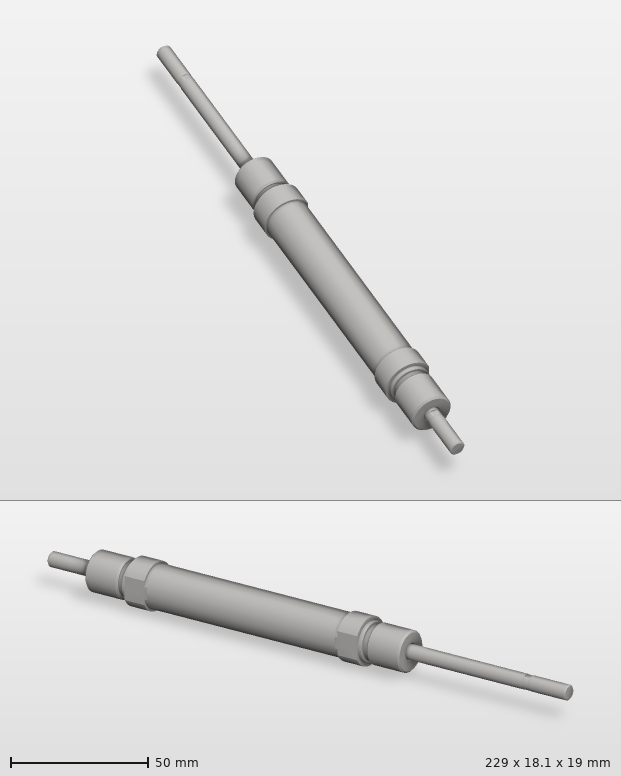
import cadquery as cq

TOTAL_LENGTH = 229.0
ROD_REACH_LEFT = 70.0
ROD_REACH_RIGHT = 20.0
NOSE_LENGTH = 14.5
UNDERCUT_LENGTH = 2.0
SHOULDER_LENGTH = 1.5
COLLAR_LENGTH = 8.7
LIP_LENGTH = 1.1
HEAD_LENGTH = NOSE_LENGTH + UNDERCUT_LENGTH + SHOULDER_LENGTH + COLLAR_LENGTH + LIP_LENGTH

TUBE_DIAMETER = 17.2
COLLAR_DIAMETER = 19.0
NOSE_DIAMETER = 16.0
UNDERCUT_DIAMETER = 13.7
NOSE_CHAMFER = 0.7
SHOULDER_CHAMFER = 0.2
HEAD_FLAT_OFFSET = 8.2
BORE_CHAMFER = 0.5

ROD_DIAMETER = 6.0
ROD_END_CHAMFER = 0.5
ROD_TIP_LENGTH = 15.8
NECK_TAPER_LENGTH = 1.0
NECK_LENGTH = 2.3
NECK_DIAMETER = 5.7
NECK_ACROSS_FLATS = 5.0

ROD_START = -TOTAL_LENGTH / 2
BODY_START = ROD_START + ROD_REACH_LEFT
BODY_END = TOTAL_LENGTH / 2 - ROD_REACH_RIGHT
BODY_MIDDLE = (BODY_START + BODY_END) / 2
TUBE_START = BODY_START + HEAD_LENGTH
TUBE_LENGTH = BODY_END - HEAD_LENGTH - TUBE_START


def cylinder(start, length, diameter):
    """Round bar running along +X from the given station."""
    return cq.Workplane("YZ", origin=(start, 0, 0)).circle(diameter / 2).extrude(length)


def make_neck_cutter():
    """Material removed from the left end of the rod: a tapered groove and the flats in it."""
    taper_start = ROD_START + ROD_TIP_LENGTH
    neck_start = taper_start + NECK_TAPER_LENGTH
    neck_end = neck_start + NECK_LENGTH
    groove = (
        cq.Workplane("XZ")
        .polyline([
            (taper_start, ROD_DIAMETER / 2),
            (neck_start, NECK_DIAMETER / 2),
            (neck_end, NECK_DIAMETER / 2),
            (neck_end, ROD_DIAMETER / 2),
        ])
        .close()
        .revolve(360, (0, 0, 0), (1, 0, 0))
    )
    flats = cylinder(neck_start, NECK_LENGTH, ROD_DIAMETER).cut(
        cq.Workplane("XY", origin=(neck_start + NECK_LENGTH / 2, 0, 0))
        .box(NECK_LENGTH, ROD_DIAMETER, NECK_ACROSS_FLATS)
    )
    return groove.union(flats)


def make_rod():
    rod = cylinder(ROD_START, TOTAL_LENGTH, ROD_DIAMETER).faces("<X or >X").chamfer(ROD_END_CHAMFER)
    left_neck = make_neck_cutter()
    return rod.cut(left_neck).cut(left_neck.mirror("YZ"))


def make_tube():
    bore = cylinder(TUBE_START, TUBE_LENGTH, ROD_DIAMETER)
    return cylinder(TUBE_START, TUBE_LENGTH, TUBE_DIAMETER).cut(bore)


def make_left_head():
    nose = cylinder(BODY_START, NOSE_LENGTH, NOSE_DIAMETER).faces("<X or >X").chamfer(NOSE_CHAMFER)

    undercut_start = BODY_START + NOSE_LENGTH
    undercut = cylinder(undercut_start, UNDERCUT_LENGTH, UNDERCUT_DIAMETER)

    shoulder_start = undercut_start + UNDERCUT_LENGTH
    shoulder = cylinder(shoulder_start, SHOULDER_LENGTH, NOSE_DIAMETER).faces("<X").chamfer(SHOULDER_CHAMFER)

    collar_start = shoulder_start + SHOULDER_LENGTH
    collar = cylinder(collar_start, COLLAR_LENGTH, COLLAR_DIAMETER)
    lip = cylinder(collar_start + COLLAR_LENGTH, LIP_LENGTH, TUBE_DIAMETER)

    beyond_flat = (
        cq.Workplane("XY", origin=(BODY_START, HEAD_FLAT_OFFSET, 0))
        .box(HEAD_LENGTH, COLLAR_DIAMETER, COLLAR_DIAMETER, centered=(False, False, True))
    )
    bore = cylinder(BODY_START, HEAD_LENGTH, ROD_DIAMETER)
    head = nose.union(undercut).union(shoulder).union(collar).union(lip).cut(beyond_flat).cut(bore)
    return head.faces("<X").edges("%CIRCLE").edges(cq.selectors.RadiusNthSelector(0)).chamfer(BORE_CHAMFER)


rod = make_rod()
tube = make_tube()
left_head = make_left_head()
right_head = left_head.mirror("YZ", (BODY_MIDDLE, 0, 0))
result = cq.Compound.makeCompound([rod.val(), tube.val(), left_head.val(), right_head.val()])